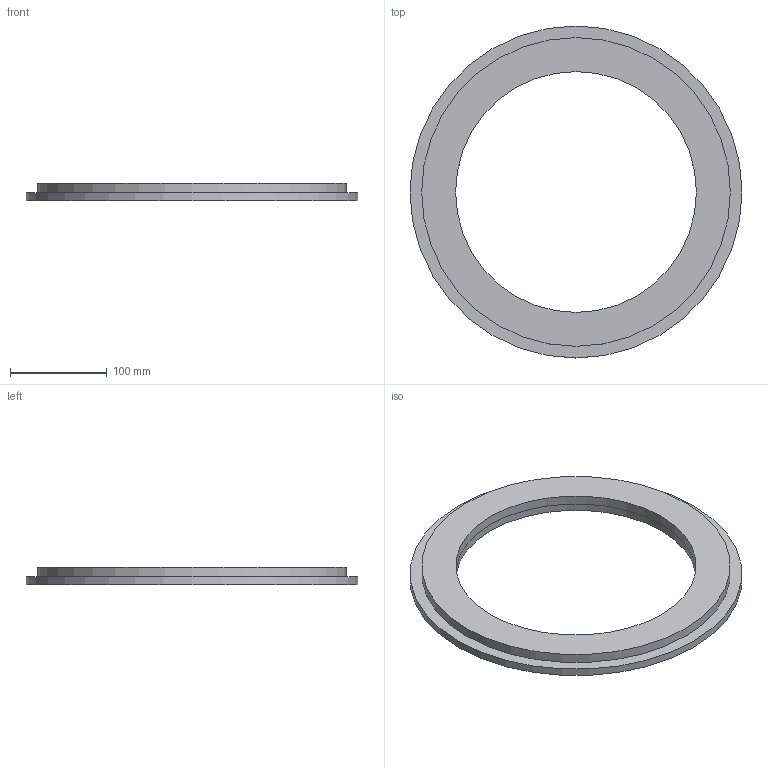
import cadquery as cq

flange_diameter = 342.3
spigot_diameter = 318.3
bore_diameter = 248.3
total_height = 18.0
flange_height = 8.0
spigot_height = total_height - flange_height


def ring(outer_diameter, height, base_z):
    """Flat ring around the Z axis with the common bore, standing on base_z."""
    return (
        cq.Workplane("XY")
        .workplane(offset=base_z)
        .circle(outer_diameter / 2)
        .circle(bore_diameter / 2)
        .extrude(height)
    )


flange = ring(flange_diameter, flange_height, 0)
spigot = ring(spigot_diameter, spigot_height, flange_height)

result = flange.union(spigot, clean=False)